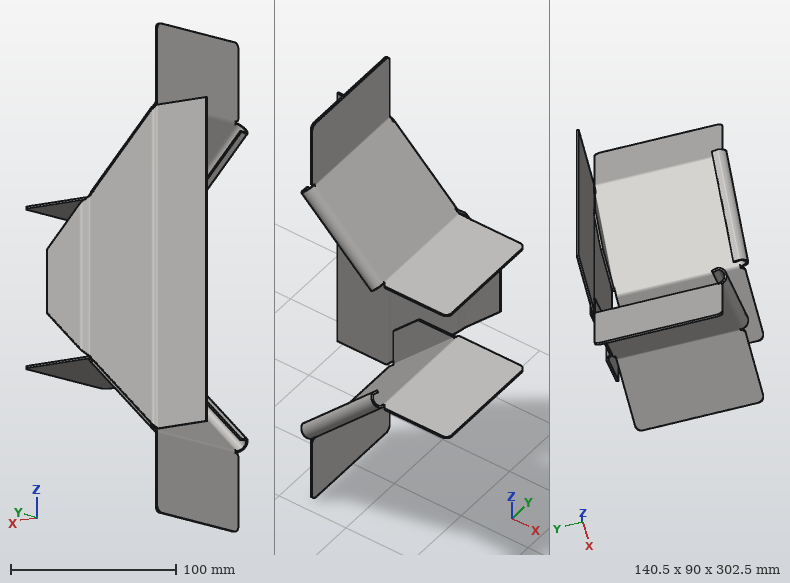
import cadquery as cq
import math


sheet = 1.35
bend_radius = 1.5
tight_bend_radius = 0.3

total_x = 140.5
total_y = 90.0
total_z = 302.5

plate_length = 117.7
plate_half_height = 100.0
tip_half_height = 19.7
edge_jog_x = 37.5
edge_jog = 1.8
tip_jog_x = 88.0
tip_jog = 3.5
tip_y = -sheet / 2
web_y = tip_y - tip_jog
edge_y = web_y - edge_jog
taper = plate_half_height - tip_half_height

flange_length = 49.5
flange_x = 38.7
flange_back_y = -6.7
flange_front_y = -86.8
flange_corner_radius = 4.0
relief_radius = 2.5
relief_gap = 1.0
corner_z = total_z / 2 - flange_length
corner_x = total_x - flange_length
flange_z = corner_z - (corner_x - flange_x)

tab_inset = 3.0
tab_reach = 19.7
tab_y = web_y - sheet

lip_radius = 5.7
lip_mid_radius = lip_radius - sheet / 2
lip_bend_y = lip_radius - total_y
lip_turn = 165
lip_leg = 4.0
lip_leg_lean = 15

wall_start = cq.Vector(flange_x, 0, corner_z)
wall_end = cq.Vector(corner_x, 0, flange_z)
wall_length = (wall_end - wall_start).Length
wall_section = cq.Plane(wall_start, xDir=(0, 1, 0), normal=wall_end - wall_start)


def bent_sheet(path, width, width_direction):
    """Sheet of the given width whose mid-surface follows a path."""
    start = cq.Plane(path.startPoint(), xDir=width_direction, normal=path.tangentAt(0))
    return cq.Workplane(start).rect(width, sheet).sweep(path)


def rounded_path(points, inner_radius):
    """Polyline with every bend rounded for the mid-surface of the sheet."""
    line = cq.Wire.makePolygon([cq.Vector(*point) for point in points])
    return line.fillet(inner_radius + sheet / 2)


def make_back_plate():
    """Sheet with two 45 degree jogs, trimmed to its tapered outline."""
    path = rounded_path(
        [
            (0, edge_y, 0),
            (edge_jog_x, edge_y, 0),
            (edge_jog_x + edge_jog, web_y, 0),
            (tip_jog_x, web_y, 0),
            (tip_jog_x + tip_jog, tip_y, 0),
            (plate_length, tip_y, 0),
        ],
        bend_radius,
    )
    jogged = bent_sheet(path, 2 * plate_half_height, (0, 0, 1))
    outline = (
        cq.Workplane("XZ")
        .polyline([
            (0, plate_half_height),
            (plate_length - taper, plate_half_height),
            (plate_length, tip_half_height),
            (plate_length, -tip_half_height),
            (plate_length - taper, -plate_half_height),
            (0, -plate_half_height),
        ])
        .close()
        .extrude(total_y)
    )
    return jogged.intersect(outline)


def make_wall():
    """Upright flange root, sloping wall and level flange root in one bent strip."""
    middle_y = (flange_back_y + lip_bend_y) / 2
    path = rounded_path(
        [
            (flange_x, middle_y, total_z / 2 - flange_corner_radius),
            (flange_x, middle_y, corner_z),
            (corner_x, middle_y, flange_z),
            (total_x - flange_corner_radius, middle_y, flange_z),
        ],
        bend_radius,
    )
    return bent_sheet(path, flange_back_y - lip_bend_y, (0, 1, 0))


def make_upright_flange():
    """Full-width flange panel with rounded free corners and a relief by the lip."""
    depth = flange_back_y - flange_front_y
    height = flange_length - relief_gap
    panel = cq.Workplane("XY").box(sheet, depth, height)
    panel = panel.edges("|X and >Z").fillet(flange_corner_radius)
    panel = panel.edges("|X and <Z and <Y").fillet(relief_radius)
    return panel.translate((
        flange_x,
        flange_back_y - depth / 2,
        total_z / 2 - height / 2,
    ))


def make_tab():
    """Tab folded inward off the back edge of the wall, with square-cut ends."""
    points = [(lip_bend_y, 0), (tab_y, 0), (tab_y, -tab_reach)]
    middle = wall_length / 2
    path = rounded_path(
        [wall_section.toWorldCoords((y, out, middle)).toTuple() for y, out in points],
        tight_bend_radius,
    )
    folded = bent_sheet(path, wall_length, wall_section.zDir)
    trim = (
        cq.Workplane("XZ", origin=(flange_x + tab_inset, 0, flange_z + tab_inset))
        .rect(total_x, total_z, centered=False)
        .extrude(total_y)
    )
    return folded.intersect(trim)


def make_lip():
    """Round lip curled inward along the front edge of the wall, ending in a leaning leg."""
    def on_curl(turn):
        angle = math.radians(turn)
        return (
            lip_bend_y - lip_mid_radius * math.sin(angle),
            lip_mid_radius * (math.cos(angle) - 1),
        )

    lean = math.radians(lip_leg_lean)
    curl_end = on_curl(lip_turn)
    leg_end = (
        curl_end[0] + lip_leg * math.cos(lean),
        curl_end[1] + lip_leg * math.sin(lean),
    )
    path = (
        cq.Workplane(wall_section)
        .workplane(offset=wall_length / 2)
        .moveTo(lip_bend_y, 0)
        .threePointArc(on_curl(lip_turn / 2), curl_end)
        .lineTo(*leg_end)
        .wire()
        .val()
        .fillet(tight_bend_radius + sheet / 2)
    )
    return bent_sheet(path, wall_length, wall_section.zDir)


def make_upper_bracket():
    wall_middle = (wall_start + wall_end) / 2
    upright = make_upright_flange()
    level = upright.mirror(wall_end - wall_start, wall_middle.toTuple())
    return (
        make_wall()
        .union(upright)
        .union(level)
        .union(make_tab())
        .union(make_lip())
    )


back_plate = make_back_plate()
upper_bracket = make_upper_bracket()
lower_bracket = upper_bracket.mirror("XY")

result = cq.Compound.makeCompound([
    back_plate.val(),
    upper_bracket.val(),
    lower_bracket.val(),
])